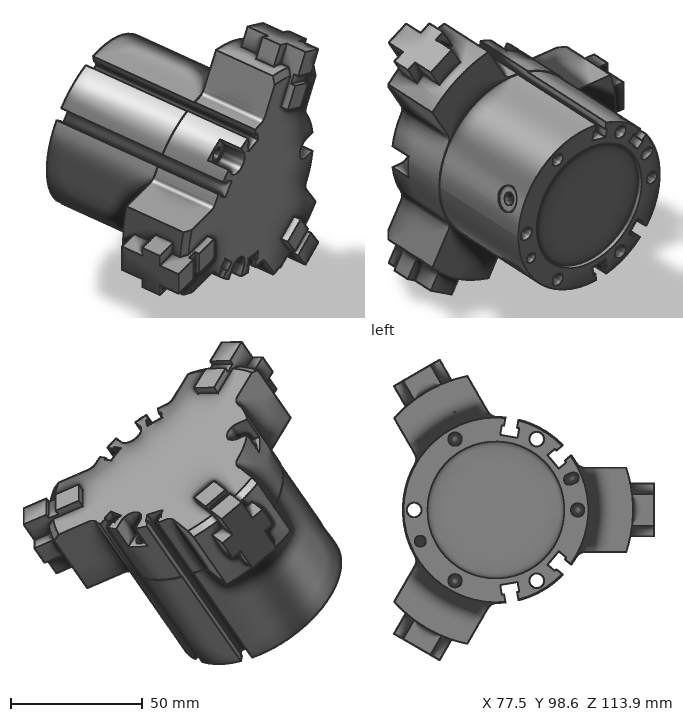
import cadquery as cq
import math


barrel_radius = 35.0
barrel_length = 46.5
flange_radius = 35.3
flange_length = 27.9
housing_length = barrel_length + flange_length
cover_recess_radius = 26.0
cover_recess_depth = 2.0

arm_angles = (60, 180, 300)
arm_width = 32.0
arm_radius = 52.0
arm_root_fillet = 4.0
arm_chamfer_axial = 1.8
arm_chamfer_radial = 2.8

bolt_angles = (0, 120, 240)
hole_circle_radius = 31.0
bolt_hole_diameter = 5.5
bolt_head_width = 9.5
bolt_head_depth = 9.6
blind_hole_diameter = 5.1
blind_hole_depth = 10.3
port_offset_angle = 22.5
rear_port_diameter = 4.2
rear_port_depth = 10.3
oval_port_length = 5.8
oval_port_width = 4.1

side_port_angle = 20
side_port_x = 9.0
side_port_diameter = 5.0
side_port_depth = 6.8
spotface_diameter = 10.3
spotface_depth = 0.9

slotted_bolt_angles = (120, 240)
slot_offset_angle = 20
slot_neck_width = 4.9
slot_width = 6.6
slot_floor_radius = 28.4
slot_lip_radius = 32.0

jaw_rear_x = 51.5
jaw_rear_width = 12.0
jaw_wing_start_x = 60.8
jaw_wing_end_x = 68.9
jaw_wing_width = 20.0
jaw_front_x = 77.5
jaw_front_width = 10.0
jaw_length = 23.9
overall_height = 113.9
jaw_tilt = math.radians(arm_angles[0])
jaw_corner_rise = jaw_wing_width / 2 * math.cos(jaw_tilt)
jaw_outer_radius = (overall_height / 2 - jaw_corner_rise) / math.sin(jaw_tilt)
jaw_inner_radius = jaw_outer_radius - jaw_length
key_groove_width = 4.0
key_groove_depth = 1.9
key_groove_radius = 48.1


def turned(shape, angle):
    """Rotate a shape about the gripper axis, from its place on the +Y side."""
    return shape.rotate((0, 0, 0), (1, 0, 0), angle)


def cross_section(x):
    """Workplane across the gripper axis: local x is Y and local y is Z."""
    return cq.Workplane("YZ", origin=(x, 0, 0))


def radial_box(x_start, x_end, r_start, r_end, width):
    """Box on the +Y side, given by its extent along and away from the axis."""
    return cq.Workplane("XY").box(
        x_end - x_start, r_end - r_start, width, centered=(False, False, True)
    ).translate((x_start, r_start, 0))


def jaw_blank():
    bars = (
        (jaw_rear_x, jaw_wing_start_x, jaw_rear_width),
        (jaw_wing_start_x, jaw_wing_end_x, jaw_wing_width),
        (jaw_wing_end_x, jaw_front_x, jaw_front_width),
    )
    blank = cq.Workplane("XY")
    for x_start, x_end, width in bars:
        blank = blank.union(radial_box(x_start, x_end, jaw_inner_radius, jaw_outer_radius, width))
    return blank


def make_jaw():
    key_groove = radial_box(
        jaw_front_x - key_groove_depth,
        jaw_front_x,
        key_groove_radius - key_groove_width / 2,
        key_groove_radius + key_groove_width / 2,
        jaw_front_width,
    )
    return jaw_blank().cut(key_groove)


def arm_end_envelope():
    """Round body whose rim and front chamfer shape the ends of the arms."""
    return (
        cq.Workplane("XY")
        .moveTo(barrel_length, 0)
        .lineTo(barrel_length, arm_radius)
        .lineTo(housing_length - arm_chamfer_axial, arm_radius)
        .lineTo(housing_length, arm_radius - arm_chamfer_radial)
        .lineTo(housing_length, 0)
        .close()
        .revolve(360, (0, 0, 0), (1, 0, 0))
    )


def arm_with_root_fillets():
    """Arm on the +Y side, blended into the flange by a concave arc on each flank."""
    half_width = arm_width / 2
    fillet_z = half_width + arm_root_fillet
    centre_distance = flange_radius + arm_root_fillet
    fillet_y = math.sqrt(centre_distance**2 - fillet_z**2)
    rim_y = fillet_y * flange_radius / centre_distance
    rim_z = fillet_z * flange_radius / centre_distance
    rim_angle = math.atan2(-fillet_z, -fillet_y)
    flank_angle = -math.pi / 2
    middle_angle = (rim_angle + flank_angle) / 2
    middle_y = fillet_y + arm_root_fillet * math.cos(middle_angle)
    middle_z = fillet_z + arm_root_fillet * math.sin(middle_angle)
    return (
        cross_section(barrel_length)
        .moveTo(0, 0)
        .lineTo(rim_y, rim_z)
        .threePointArc((middle_y, middle_z), (fillet_y, half_width))
        .lineTo(arm_radius, half_width)
        .lineTo(arm_radius, -half_width)
        .lineTo(fillet_y, -half_width)
        .threePointArc((middle_y, -middle_z), (rim_y, -rim_z))
        .close()
        .extrude(flange_length)
    )


def housing_blank():
    barrel = cross_section(0).circle(barrel_radius).extrude(barrel_length)
    flange = cross_section(barrel_length).circle(flange_radius).extrude(flange_length)
    blank = barrel.union(flange)
    arm = arm_with_root_fillets().intersect(arm_end_envelope())
    for angle in arm_angles:
        blank = blank.union(turned(arm, angle))
    return blank


def bolt_hole():
    """Through hole with a seat for the bolt head, open to the flange rim."""
    seat_x = housing_length - bolt_head_depth
    hole = cross_section(0).center(hole_circle_radius, 0).circle(bolt_hole_diameter / 2)
    seat = cross_section(seat_x).center(hole_circle_radius, 0).circle(bolt_head_width / 2)
    opening = radial_box(seat_x, housing_length, hole_circle_radius, arm_radius, bolt_head_width)
    return hole.extrude(housing_length).union(seat.extrude(bolt_head_depth)).union(opening)


def rear_hole(diameter, depth):
    return cross_section(0).center(hole_circle_radius, 0).circle(diameter / 2).extrude(depth)


def oval_port():
    outline = cross_section(0).center(hole_circle_radius, 0).slot2D(oval_port_length, oval_port_width)
    return outline.extrude(rear_port_depth)


def side_port():
    """Radial hole with a flat seat around its mouth."""
    mouth = cq.Workplane("XZ", origin=(side_port_x, barrel_radius, 0))
    hole = mouth.circle(side_port_diameter / 2).extrude(side_port_depth)
    return hole.union(mouth.circle(spotface_diameter / 2).extrude(spotface_depth))


def sensor_slot():
    """T-slot along the whole housing: a narrow neck over a wider channel."""
    neck = radial_box(0, housing_length, slot_lip_radius, arm_radius, slot_neck_width)
    channel = radial_box(0, housing_length, slot_floor_radius, slot_lip_radius, slot_width)
    return neck.union(channel)


def make_housing():
    body = housing_blank()
    body = body.cut(cross_section(0).circle(cover_recess_radius).extrude(cover_recess_depth))
    for angle in bolt_angles:
        body = body.cut(turned(bolt_hole(), angle))
    for angle in arm_angles:
        body = body.cut(turned(rear_hole(blind_hole_diameter, blind_hole_depth), angle))
        body = body.cut(turned(jaw_blank(), angle))
    body = body.cut(turned(rear_hole(rear_port_diameter, rear_port_depth), -port_offset_angle))
    body = body.cut(turned(oval_port(), 180 - port_offset_angle))
    body = body.cut(turned(side_port(), side_port_angle))
    for bolt_angle in slotted_bolt_angles:
        for side in (-1, 1):
            body = body.cut(turned(sensor_slot(), bolt_angle + side * slot_offset_angle))
    return body


housing = make_housing()
jaws = [turned(make_jaw(), angle) for angle in arm_angles]

result = cq.Compound.makeCompound([housing.val(), *[jaw.val() for jaw in jaws]])